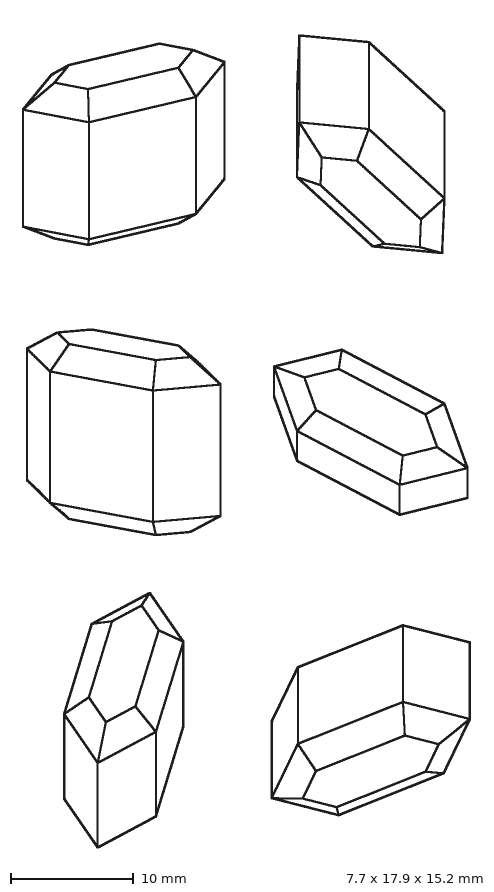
import cadquery as cq

width = 7.7
length = 17.91
height = 15.2
side_length = 9.5
bevel = 1.9

half_width = width / 2
half_length = length / 2
half_side = side_length / 2

hexagon = [
    (0, -half_length),
    (half_width, -half_side),
    (half_width, half_side),
    (0, half_length),
    (-half_width, half_side),
    (-half_width, -half_side),
]
prism = cq.Workplane("XY").polyline(hexagon).close().extrude(height / 2, both=True)

result = prism.faces("<Z or >Z").edges().chamfer(bevel)